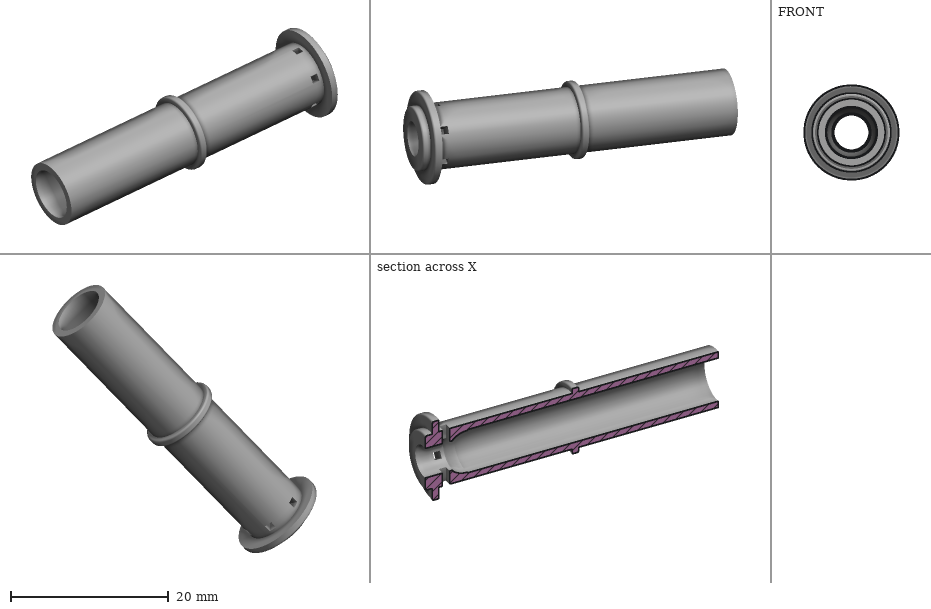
import cadquery as cq
import math

total_length = 42.0
nose_length = 1.0
flange_thickness = 1.0
collar_thickness = 1.0
collar_start = 20.0

tube_diameter = 8.55
nose_diameter = 8.35
collar_diameter = 10.0
flange_diameter = 12.0
edge_fillet = 0.25

bore_diameter = 6.55
dome_diameter = 6.35
floor_diameter = 4.9
outlet_diameter = 4.5
floor_position = 38.0

window_count = 6
window_length = 1.0
window_width = 1.0
window_gap = 0.5

flange_end = total_length - nose_length
flange_start = flange_end - flange_thickness


def disc(diameter, start, end):
    """Solid cylinder on the Y axis between two Y positions."""
    return cq.Workplane("XZ", origin=(0, start, 0)).circle(diameter / 2).extrude(start - end)


def outer_body():
    """Tube with its collar, end flange and nose."""
    tube = disc(tube_diameter, 0, flange_start)
    collar = disc(collar_diameter, collar_start, collar_start + collar_thickness)
    collar = collar.edges().fillet(edge_fillet)
    flange = disc(flange_diameter, flange_start, flange_end).edges(">Y").fillet(edge_fillet)
    nose = disc(nose_diameter, flange_start, total_length).edges(">Y").fillet(edge_fillet)
    return tube.union(collar).union(flange).union(nose)


def bore():
    """Bore ending in a small step, a spherical dome and a flat floor pierced by the outlet."""
    bore_radius = bore_diameter / 2
    dome_radius = dome_diameter / 2
    floor_radius = floor_diameter / 2
    outlet_radius = outlet_diameter / 2
    dome_angle = math.acos(floor_radius / dome_radius)
    step_position = floor_position - dome_radius * math.sin(dome_angle)
    dome_middle = (
        dome_radius * math.cos(dome_angle / 2),
        step_position + dome_radius * math.sin(dome_angle / 2),
    )
    profile = (
        cq.Workplane("XY")
        .lineTo(bore_radius, 0)
        .lineTo(bore_radius, step_position)
        .lineTo(dome_radius, step_position)
        .threePointArc(dome_middle, (floor_radius, floor_position))
        .lineTo(outlet_radius, floor_position)
        .lineTo(outlet_radius, total_length)
        .lineTo(0, total_length)
        .close()
    )
    return profile.revolve(360, (0, 0, 0), (0, 1, 0))


def windows():
    """Rectangular cutters, evenly spaced around the tube with one pointing to +Z."""
    reach = collar_diameter / 2
    center_y = flange_start - window_gap - window_length / 2
    cutter = cq.Workplane("XY", origin=(0, center_y, 0)).rect(window_width, window_length).extrude(reach)
    cutters = cq.Workplane("XY")
    for index in range(window_count):
        angle = index * 360 / window_count
        cutters = cutters.add(cutter.rotate((0, 0, 0), (0, 1, 0), angle))
    return cutters.combine()


result = outer_body().cut(bore()).cut(windows())